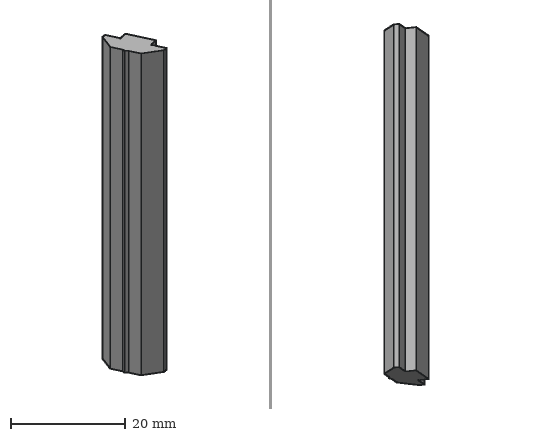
import cadquery as cq

length = 62.5
flange_width = 12.0
stem_width = 6.0
stem_height = 2.0
flange_edge = 1.0
ridge_width = 1.1
ridge_height = 0.3

bevel = (flange_width - stem_width) / 2

bevel_top = bevel
flange_top = bevel_top + flange_edge
stem_top = flange_top + stem_height

half_section = [
    (0, -ridge_height),
    (ridge_width / 2, 0),
    (stem_width / 2, 0),
    (flange_width / 2, bevel_top),
    (flange_width / 2, flange_top),
    (stem_width / 2, flange_top),
    (stem_width / 2, stem_top),
    (0, stem_top),
]

result = cq.Workplane("XY").polyline(half_section).mirrorY().extrude(length)